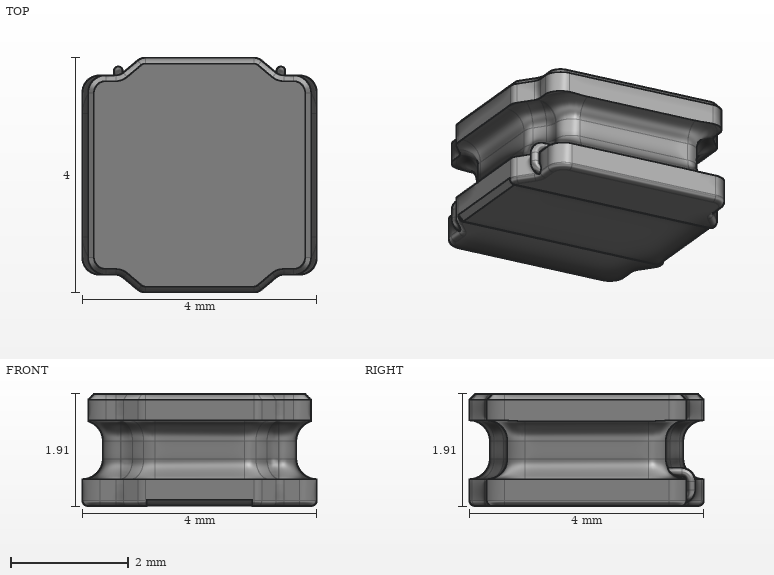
import cadquery as cq
import math

height = 1.91
half_depth = 2.0
base_half_width = 2.0
cap_half_width = 1.9
flange_thickness = 0.45
flange_bevel = 0.1

tab_half_width = 1.0
corner_half_depth = 1.7
shoulder_angle = math.radians(40)
outer_corner_radius = 0.3
flange_shoulder_radius = 0.2

neck_inset = 0.35
neck_shoulder_radius = 0.3
cove_lip = 0.002
cove_overlap = 0.05

terminal_standoff = 0.01
terminal_inner_x = 0.9

wire_diameter = 0.15
wire_x = 1.385
wire_bend_radius = 0.15
wire_inner_y = 1.25
wire_top_z = 0.575
wire_bottom_z = 0.125

base_z = terminal_standoff
base_top_z = base_z + flange_thickness
cap_bottom_z = height - flange_thickness
neck_middle_z = (base_top_z + cap_bottom_z) / 2
cove_radius = neck_inset - cove_lip
terminal_height = terminal_standoff + flange_bevel


def outline_corners(half_width, inset):
    """Sharp corners of the outline, counterclockwise, with its sides moved inwards by the inset."""
    side_x = half_width - inset
    tab_y = half_depth - inset
    corner_y = corner_half_depth - inset
    tab_x = tab_half_width - inset * math.tan(shoulder_angle / 2)
    foot_x = tab_x + (tab_y - corner_y) / math.tan(shoulder_angle)
    quarter = [(side_x, corner_y), (foot_x, corner_y), (tab_x, tab_y)]
    half = quarter + [(-x, y) for x, y in reversed(quarter)]
    return [cq.Vector(x, y) for x, y in half + [(-x, -y) for x, y in half]]


def rounded_outline(half_width, inset, shoulder_radius):
    """Corner arcs of the outline as (start, middle, end, radius)."""
    corners = outline_corners(half_width, inset)
    side_x = half_width - inset
    arcs = []
    for index, corner in enumerate(corners):
        radius = outer_corner_radius if abs(corner.x) == side_x else shoulder_radius
        to_before = (corners[index - 1] - corner).normalized()
        to_after = (corners[(index + 1) % len(corners)] - corner).normalized()
        half_angle = to_before.getAngle(to_after) / 2
        setback = radius / math.tan(half_angle)
        bulge = radius / math.sin(half_angle) - radius
        middle = corner + (to_before + to_after).normalized() * bulge
        arcs.append((corner + to_before * setback, middle, corner + to_after * setback, radius))
    return arcs


def outline_prism(half_width, inset, shoulder_radius, bottom_z, top_z):
    """Upright prism of the rounded outline."""
    arcs = rounded_outline(half_width, inset, shoulder_radius)
    first_start = arcs[0][0]
    sketch = cq.Workplane("XY").workplane(offset=bottom_z).moveTo(first_start.x, first_start.y)
    for start, middle, end, _ in arcs:
        if start is not first_start:
            sketch = sketch.lineTo(start.x, start.y)
        sketch = sketch.threePointArc((middle.x, middle.y), (end.x, end.y))
    return sketch.close().extrude(top_z - bottom_z)


def cove_profile(start, travel, reach):
    """Section of the lower cove, its local x pointing out of the neck and its local y up."""
    outward = cq.Vector(travel.y, -travel.x)
    plane = cq.Plane(origin=(start.x, start.y, base_top_z), xDir=outward, normal=-travel)

    def cove_height(distance):
        return cove_radius - math.sqrt(cove_radius**2 - (cove_radius - distance) ** 2)

    return (
        cq.Workplane(plane)
        .moveTo(-cove_overlap, -cove_overlap)
        .lineTo(reach, -cove_overlap)
        .lineTo(reach, cove_height(reach))
        .threePointArc((reach / 2, cove_height(reach / 2)), (0, cove_radius))
        .lineTo(-cove_overlap, cove_radius)
        .close()
    )


def lower_cove():
    """Quarter-round cove that runs around the foot of the neck."""
    arcs = rounded_outline(base_half_width, neck_inset, neck_shoulder_radius)
    pieces = []
    for index, (start, _, end, radius) in enumerate(arcs):
        line_start = arcs[index - 1][2]
        line = start - line_start
        travel = line.normalized()
        pieces.append(cove_profile(line_start, travel, cove_radius).extrude(-line.Length))

        chord = end - start
        turn = 2 * math.degrees(math.asin(chord.Length / (2 * radius)))
        turns_left = travel.cross(chord).z > 0
        if turns_left:
            profile = cove_profile(start, travel, cove_radius)
            pieces.append(profile.revolve(turn, (-radius, 0), (-radius, 1)))
        else:
            profile = cove_profile(start, travel, min(cove_radius, radius))
            pieces.append(profile.revolve(turn, (radius, 1), (radius, 0)))

    cove = pieces[0]
    for piece in pieces[1:]:
        cove = cove.union(piece)
    return cove


def flange(half_width, bottom_z, top_z):
    """Plate with the full, uninset outline."""
    return outline_prism(half_width, 0, flange_shoulder_radius, bottom_z, top_z)


def core():
    """Spool with coved neck; the upper flange is narrower along X than the lower one."""
    base = flange(base_half_width, base_z, base_top_z).faces("<Z").chamfer(flange_bevel)
    wide_cap = flange(base_half_width, cap_bottom_z, height)
    neck = outline_prism(base_half_width, neck_inset, neck_shoulder_radius, base_top_z, cap_bottom_z)
    spool = base.union(neck).union(wide_cap)

    cove = lower_cove()
    spool = spool.union(cove).union(cove.mirror("XY", (0, 0, neck_middle_z)))

    cap_zone = flange(cap_half_width, neck_middle_z, height).faces(">Z").chamfer(flange_bevel)
    base_zone = flange(base_half_width, base_z, neck_middle_z)
    return spool.intersect(cap_zone.union(base_zone))


def terminals():
    """Rounded pads that wrap the bottom edge at both X ends."""
    pad = flange(base_half_width, 0, terminal_height)
    pad = pad.faces("<Z").edges().fillet(flange_bevel)
    gap = cq.Workplane("XY").rect(2 * terminal_inner_x, 2 * half_depth).extrude(terminal_height)
    return pad.cut(gap)


def wire_tail(x):
    """Round wire that leaves the neck, bends down the flange wall and turns in below."""
    radius = wire_diameter / 2
    outer_y = corner_half_depth + radius
    bend_y = outer_y - wire_bend_radius
    upper_bend_z = wire_top_z - wire_bend_radius
    lower_bend_z = wire_bottom_z + wire_bend_radius
    diagonal = wire_bend_radius * math.sin(math.pi / 4)
    path = (
        cq.Workplane("YZ", origin=(x, 0, 0))
        .moveTo(wire_inner_y, wire_top_z)
        .lineTo(bend_y, wire_top_z)
        .threePointArc((bend_y + diagonal, upper_bend_z + diagonal), (outer_y, upper_bend_z))
        .lineTo(outer_y, lower_bend_z)
        .threePointArc((bend_y + diagonal, lower_bend_z - diagonal), (bend_y, wire_bottom_z))
    )
    section = cq.Workplane("XZ", origin=(x, wire_inner_y, wire_top_z)).circle(radius)
    return section.sweep(path)


result = core().union(terminals())
for side in (-1, 1):
    result = result.union(wire_tail(side * wire_x))